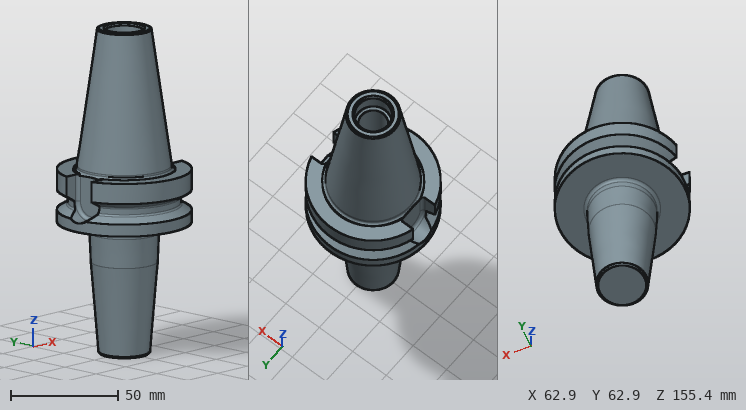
import cadquery as cq
import math

SHANK_TOP = 65.5
GAUGE_RADIUS = 22.2
TAPER_RATIO = 7 / 24
SHANK_EDGE_SIZE = (0.8, 0.5)
NECK_BOTTOM = -1.0

FLANGE_RADIUS = 31.47
FLANGE_TOP = -1.9
FLANGE_BOTTOM = -27.0
GROOVE_RADIUS = 26.4
GROOVE_TOP = -11.5
GROOVE_BOTTOM = -21.3
GROOVE_FLANK_ANGLE = 30
GROOVE_FILLET = 1.1
ROOT_RADIUS = 1.5

NOSE_BOTTOM = SHANK_TOP - 155.4
NOSE_RADIUS = 16.3
NOSE_STRAIGHT_END = -32.0
NOSE_MIDDLE_RADIUS = 15.7
NOSE_MIDDLE = -46.0
NOSE_TIP_RADIUS = 12.1
NOSE_CHAMFER = 1.0

SLOT_WIDTH = 16.2
SLOT_FLOOR = 22.8
SLOT_CENTER_Z = -14.6
SLOT_FILLET = 1.7

BORE_RADIUS = 8.7
BORE_CHAMFER = 1.0
BORE_DEPTH = 9.0
SEAT_DEPTH = 0.8
DRILL_RADIUS = 7.0
DRILL_DEPTH = 31.1
DRILL_POINT_ANGLE = 118


def make_body():
    shank_top_radius = GAUGE_RADIUS - SHANK_TOP * TAPER_RATIO / 2
    edge_radial, edge_axial = SHANK_EDGE_SIZE
    edge_start_radius = shank_top_radius + edge_axial * TAPER_RATIO / 2
    flank_height = (FLANGE_RADIUS - GROOVE_RADIUS) * math.tan(math.radians(GROOVE_FLANK_ANGLE))
    floor_top = GROOVE_TOP - flank_height
    floor_bottom = GROOVE_BOTTOM + flank_height

    diagonal = ROOT_RADIUS * math.sqrt(0.5)
    relief_radius = GAUGE_RADIUS + ROOT_RADIUS
    relief_bottom = NECK_BOTTOM - ROOT_RADIUS
    nose_root_z = FLANGE_BOTTOM - ROOT_RADIUS
    nose_root_radius = NOSE_RADIUS + ROOT_RADIUS

    profile = (
        cq.Workplane("XZ")
        .moveTo(0, SHANK_TOP)
        .lineTo(shank_top_radius - edge_radial, SHANK_TOP)
        .lineTo(edge_start_radius, SHANK_TOP - edge_axial)
        .lineTo(GAUGE_RADIUS, 0)
        .lineTo(GAUGE_RADIUS, NECK_BOTTOM)
        .threePointArc(
            (relief_radius - diagonal, NECK_BOTTOM - diagonal),
            (relief_radius, relief_bottom),
        )
        .lineTo(relief_radius, FLANGE_TOP)
        .lineTo(FLANGE_RADIUS, FLANGE_TOP)
        .lineTo(FLANGE_RADIUS, GROOVE_TOP)
        .lineTo(GROOVE_RADIUS, floor_top)
        .lineTo(GROOVE_RADIUS, floor_bottom)
        .lineTo(FLANGE_RADIUS, GROOVE_BOTTOM)
        .lineTo(FLANGE_RADIUS, FLANGE_BOTTOM)
        .lineTo(nose_root_radius, FLANGE_BOTTOM)
        .threePointArc(
            (nose_root_radius - diagonal, nose_root_z + diagonal),
            (NOSE_RADIUS, nose_root_z),
        )
        .lineTo(NOSE_RADIUS, NOSE_STRAIGHT_END)
        .lineTo(NOSE_MIDDLE_RADIUS, NOSE_MIDDLE)
        .lineTo(NOSE_TIP_RADIUS, NOSE_BOTTOM + NOSE_CHAMFER)
        .lineTo(NOSE_TIP_RADIUS - NOSE_CHAMFER, NOSE_BOTTOM)
        .lineTo(0, NOSE_BOTTOM)
        .close()
    )
    body = profile.revolve(360, (0, 0, 0), (0, 1, 0))

    corner_box = cq.selectors.BoxSelector(
        (-FLANGE_RADIUS, -FLANGE_RADIUS, floor_bottom - GROOVE_FILLET / 2),
        (FLANGE_RADIUS, FLANGE_RADIUS, floor_top + GROOVE_FILLET / 2),
    )
    return body.edges("%CIRCLE").edges(corner_box).fillet(GROOVE_FILLET)


def make_slot_cutter(side):
    """Slot open at the flange top, with a filleted floor; side is -1 or +1 along X."""
    half_width = SLOT_WIDTH / 2
    cutter = (
        cq.Workplane("YZ")
        .workplane(offset=side * SLOT_FLOOR)
        .moveTo(-half_width, 0)
        .lineTo(-half_width, SLOT_CENTER_Z)
        .threePointArc((0, SLOT_CENTER_Z - half_width), (half_width, SLOT_CENTER_Z))
        .lineTo(half_width, 0)
        .close()
        .extrude(side * FLANGE_RADIUS)
    )
    floor = cutter.faces("<X" if side > 0 else ">X")
    return floor.edges("not(>Z)").fillet(SLOT_FILLET)


def make_bore_cutter():
    chamfer_bottom = SHANK_TOP - BORE_CHAMFER
    seat_top = SHANK_TOP - BORE_DEPTH
    drill_bottom = SHANK_TOP - DRILL_DEPTH
    point_height = DRILL_RADIUS / math.tan(math.radians(DRILL_POINT_ANGLE / 2))
    outline = [
        (0, SHANK_TOP),
        (BORE_RADIUS + BORE_CHAMFER, SHANK_TOP),
        (BORE_RADIUS, chamfer_bottom),
        (BORE_RADIUS, seat_top),
        (DRILL_RADIUS, seat_top - SEAT_DEPTH),
        (DRILL_RADIUS, drill_bottom),
        (0, drill_bottom - point_height),
    ]
    return cq.Workplane("XZ").polyline(outline).close().revolve(360, (0, 0, 0), (0, 1, 0))


result = make_body().cut(make_bore_cutter())
for slot_side in (-1, 1):
    result = result.cut(make_slot_cutter(slot_side))